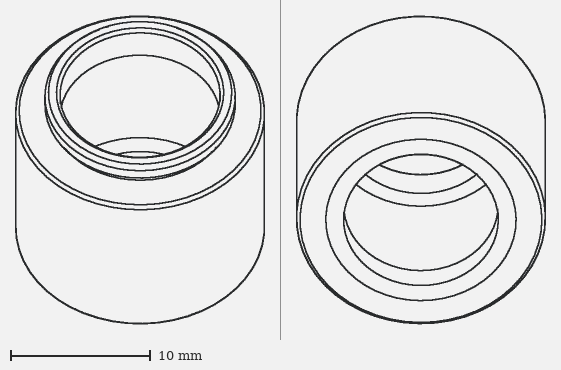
import cadquery as cq

overall_height = 15.49
barrel_radius = 17.78 / 2
barrel_height = 13.46
barrel_chamfer = 0.254

collar_radius = 6.795
collar_height = 1.27
collar_chamfer_width = 0.254
collar_chamfer_height = 0.44
neck_radius = 6.38

mouth_radius = 5.715
mouth_chamfer = 0.254
cavity_radius = collar_radius
cavity_depth = 12.7

ring_inner_radius = 5.52
ring_thickness = 2.0


def cylinder(radius, bottom, top):
    """Upright cylinder on the Z axis between two heights."""
    return cq.Workplane("XY").workplane(offset=bottom).circle(radius).extrude(top - bottom)


def make_barrel():
    return cylinder(barrel_radius, 0, barrel_height).faces("<Z or >Z").chamfer(barrel_chamfer)


def make_collar():
    """Collar with a steep lead-in chamfer, carried on a narrower neck."""
    collar_bottom = overall_height - collar_height
    chamfer_bottom = overall_height - collar_chamfer_height
    neck = cylinder(neck_radius, barrel_height, collar_bottom)
    profile = (
        cq.Workplane("XZ")
        .moveTo(0, collar_bottom)
        .lineTo(collar_radius, collar_bottom)
        .lineTo(collar_radius, chamfer_bottom)
        .lineTo(collar_radius - collar_chamfer_width, overall_height)
        .lineTo(0, overall_height)
        .close()
    )
    collar = profile.revolve(360, (0, 0, 0), (0, 1, 0))
    return neck.union(collar)


def make_tube():
    body = make_barrel().union(make_collar())
    body = body.cut(cylinder(cavity_radius, 0, cavity_depth))
    body = body.cut(cylinder(mouth_radius, cavity_depth, overall_height))
    mouth_edge = body.faces(">Z").edges(cq.selectors.RadiusNthSelector(0))
    return mouth_edge.chamfer(mouth_chamfer)


def make_retaining_ring():
    blank = cylinder(cavity_radius, 0, ring_thickness)
    return blank.cut(cylinder(ring_inner_radius, 0, ring_thickness))


lens_tube = make_tube()
retaining_ring = make_retaining_ring()

result = cq.Compound.makeCompound([lens_tube.solids().val(), retaining_ring.solids().val()])